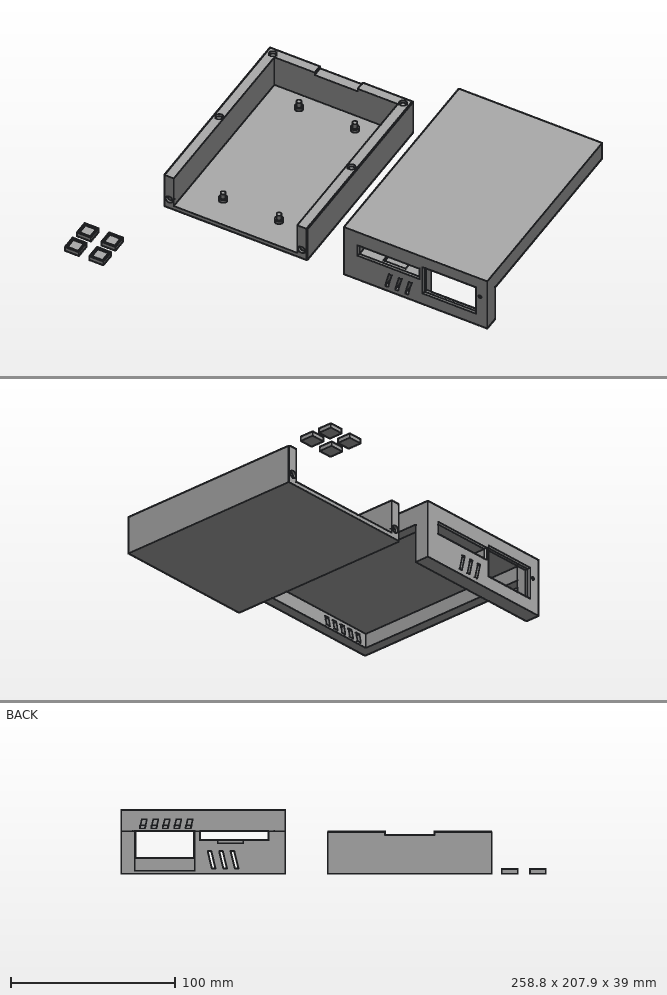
import cadquery as cq

total_length = 258.8
total_depth = 207.9
total_height = 39.0
enclosure_width = 100.2
enclosure_front_y = 64.7
side_wall = 7.0
floor_thickness = 3.0

tray_left_x = 33.0
tray_right_x = tray_left_x + enclosure_width
tray_centre_x = (tray_left_x + tray_right_x) / 2
tray_back_y = 197.0
tray_height = 26.0
tray_chamfer = 0.5

notch_width = 30.0
notch_depth = 2.0

magnet_diameter = 5.0
magnet_depth = 2.0
magnet_side_inset = 4.0
corner_magnet_inset = 4.7
middle_magnet_y = enclosure_front_y + 62.0
front_magnet_z = 7.0

post_spacing_x = 39.0
post_spacing_y = 94.5
front_post_y = enclosure_front_y + 19.5
post_diameter = 5.2
post_height = 2.0
pin_diameter = 3.0
pin_height = 4.0

lid_left_x = total_length - enclosure_width
lid_skirt_bottom = 26.1
lid_roof = 3.0
roof_underside = total_height - lid_roof

panel_thickness = 10.0
panel_back_y = enclosure_front_y + panel_thickness
panel_skin = 3.0
skin_back_y = enclosure_front_y + panel_skin
opening_bevel = 1.0

drive_slot_left_x = 168.0
drive_slot_right_x = 211.7
drive_slot_bottom_z = 19.7
drive_slot_top_z = 28.2
finger_notch_left_x = 184.5
finger_notch_width = 15.5
finger_notch_depth = 2.0

window_left_x = 213.5
window_right_x = 251.0
window_bottom_z = 8.8
window_top_z = 30.5
pocket_margin = 0.5
pocket_floor_z = 2.0

led_diameter = 2.0
led_x = 253.7
led_z = 24.0

slot_pitch = 7.0
stripe_count = 3
stripe_left_x = 187.5
stripe_bottom_z = 3.4
stripe_top_z = 14.0
stripe_width = 2.0
stripe_lean = 2.5

vent_count = 5
vent_left_x = 216.5
vent_bottom_z = 28.0
vent_top_z = 33.5
vent_width = 3.0
vent_lean = -1.3

foot_size = 9.8
foot_height = 3.0
foot_rim = 1.0
foot_recess_depth = 0.8
foot_pitch_x = 17.0
foot_pitch_y = 15.0
feet_per_side = 2


def block(left, right, front, back, bottom, top):
    """Box between the given planes."""
    box = cq.Workplane("XY").box(right - left, back - front, top - bottom, centered=False)
    return box.translate((left, front, bottom))


def bevelled_opening(left, right, bottom, top):
    """Cutter for a rectangular opening through the front panel, bevelled along its front rim."""
    opening = block(
        left + opening_bevel,
        right - opening_bevel,
        enclosure_front_y,
        panel_back_y,
        bottom + opening_bevel,
        top - opening_bevel,
    )
    rim_centre = ((left + right) / 2, enclosure_front_y, (bottom + top) / 2)
    bevel = (
        cq.Workplane("XZ", origin=rim_centre)
        .rect(right - left, top - bottom)
        .extrude(-opening_bevel, taper=45)
    )
    return opening.union(bevel)


def leaning_slot(left, bottom, top, width, lean, front, back):
    """Cutter along Y whose outline is a parallelogram, shifted sideways by lean at its top."""
    outline = [
        (left, bottom),
        (left + width, bottom),
        (left + width + lean, top),
        (left + lean, top),
    ]
    return cq.Workplane("XZ", origin=(0, front, 0)).polyline(outline).close().extrude(front - back)


def lid_shell():
    """Full-height front panel with a roof behind it and a low skirt around the roof."""
    panel = block(lid_left_x, total_length, enclosure_front_y, panel_back_y, 0, total_height)
    cover = block(lid_left_x, total_length, panel_back_y, total_depth, lid_skirt_bottom, total_height)
    cavity = block(
        lid_left_x + side_wall,
        total_length - side_wall,
        panel_back_y,
        total_depth - side_wall,
        lid_skirt_bottom,
        roof_underside,
    )
    return panel.union(cover).cut(cavity)


def drive_slot_cutter():
    """Drive slot with a finger notch sunk into its floor behind the skin."""
    slot = bevelled_opening(drive_slot_left_x, drive_slot_right_x, drive_slot_bottom_z, drive_slot_top_z)
    slot_floor_z = drive_slot_bottom_z + opening_bevel
    finger_notch = block(
        finger_notch_left_x,
        finger_notch_left_x + finger_notch_width,
        skin_back_y,
        panel_back_y,
        slot_floor_z - finger_notch_depth,
        slot_floor_z,
    )
    return slot.union(finger_notch)


def window_cutter():
    """Display window with a larger pocket behind the skin."""
    window = bevelled_opening(window_left_x, window_right_x, window_bottom_z, window_top_z)
    pocket = block(
        window_left_x + opening_bevel - pocket_margin,
        window_right_x - opening_bevel + pocket_margin,
        skin_back_y,
        panel_back_y,
        pocket_floor_z,
        roof_underside,
    )
    return window.union(pocket)


def led_cutter():
    led_centre = (led_x, enclosure_front_y, led_z)
    return cq.Workplane("XZ", origin=led_centre).circle(led_diameter / 2).extrude(-panel_skin)


def make_lid():
    lid = lid_shell().cut(drive_slot_cutter()).cut(window_cutter()).cut(led_cutter())
    for i in range(stripe_count):
        left = stripe_left_x + i * slot_pitch
        lid = lid.cut(leaning_slot(
            left, stripe_bottom_z, stripe_top_z, stripe_width, stripe_lean,
            enclosure_front_y, panel_back_y,
        ))
    for i in range(vent_count):
        left = vent_left_x + i * slot_pitch
        lid = lid.cut(leaning_slot(
            left, vent_bottom_z, vent_top_z, vent_width, vent_lean,
            total_depth - side_wall, total_depth,
        ))
    return lid


def tray_shell():
    """Tray open at the front and top, with chamfered outer edges and a notch in its back wall."""
    shell = block(tray_left_x, tray_right_x, enclosure_front_y, tray_back_y, 0, tray_height)
    shell = shell.faces("<Y").edges("|Z").chamfer(tray_chamfer)
    shell = shell.faces(">Z").edges("not <Y").chamfer(tray_chamfer)
    inner_back_y = tray_back_y - side_wall
    cavity = block(
        tray_left_x + side_wall,
        tray_right_x - side_wall,
        enclosure_front_y,
        inner_back_y,
        floor_thickness,
        tray_height,
    )
    notch = block(
        tray_centre_x - notch_width / 2,
        tray_centre_x + notch_width / 2,
        inner_back_y,
        tray_back_y,
        tray_height - notch_depth,
        tray_height,
    )
    return shell.cut(cavity).cut(notch)


def magnet_holes(plane, origin, centres):
    """Cutter for blind magnet holes that enter the tray from the given plane."""
    return (
        cq.Workplane(plane, origin=origin)
        .pushPoints(centres)
        .circle(magnet_diameter / 2)
        .extrude(-magnet_depth)
    )


def mounting_posts():
    """Four round posts on the tray floor, each carrying a thinner pin."""
    pattern_centre = (tray_centre_x, front_post_y + post_spacing_y / 2, floor_thickness)
    corners = (
        cq.Workplane("XY", origin=pattern_centre)
        .rect(post_spacing_x, post_spacing_y, forConstruction=True)
        .vertices()
    )
    posts = corners.circle(post_diameter / 2).extrude(post_height)
    pins = corners.circle(pin_diameter / 2).extrude(post_height + pin_height)
    return posts.union(pins)


def make_tray():
    corner_y = tray_back_y - corner_magnet_inset
    top_centres = [
        (tray_left_x + corner_magnet_inset, corner_y),
        (tray_right_x - corner_magnet_inset, corner_y),
        (tray_left_x + magnet_side_inset, middle_magnet_y),
        (tray_right_x - magnet_side_inset, middle_magnet_y),
    ]
    front_centres = [
        (tray_left_x + magnet_side_inset, front_magnet_z),
        (tray_right_x - magnet_side_inset, front_magnet_z),
    ]
    tray = tray_shell()
    tray = tray.cut(magnet_holes("XY", (0, 0, tray_height), top_centres))
    tray = tray.cut(magnet_holes("XZ", (0, enclosure_front_y, 0), front_centres))
    return tray.union(mounting_posts())


def make_foot(left, front):
    """Square foot with a shallow square recess in its top."""
    right = left + foot_size
    back = front + foot_size
    pad = block(left, right, front, back, 0, foot_height)
    recess = block(
        left + foot_rim,
        right - foot_rim,
        front + foot_rim,
        back - foot_rim,
        foot_height - foot_recess_depth,
        foot_height,
    )
    return pad.cut(recess)


lid = make_lid()
tray = make_tray()
feet = []
for column in range(feet_per_side):
    for row in range(feet_per_side):
        foot = make_foot(column * foot_pitch_x, row * foot_pitch_y)
        feet.append(foot.val())

result = cq.Compound.makeCompound([lid.val(), tray.val(), *feet])